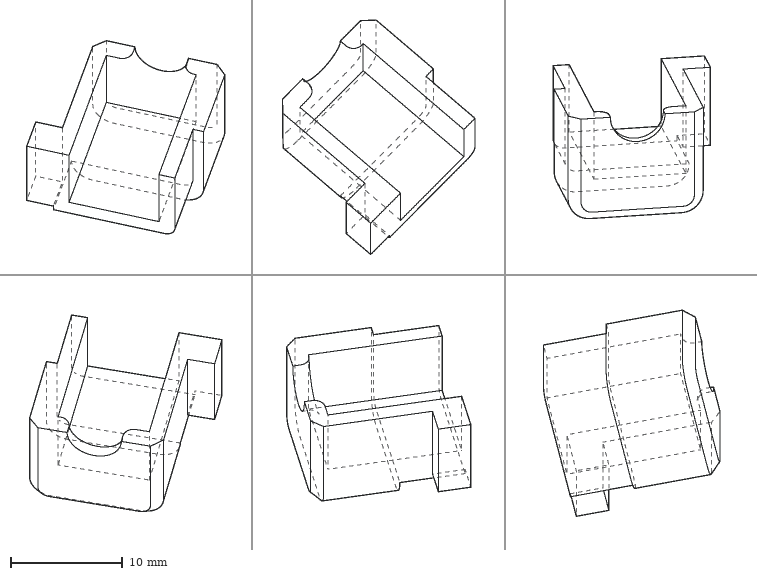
import cadquery as cq

total_width = 14.85
depth = 14.0
height = 10.0

tab_width = 2.5
tab_depth = 3.0
tab_bottom = 2.5

body_radius = 2.0
back_chamfer = 1.0
front_depth = 6.0
front_bottom = 2.0
front_side_step = 1.0
front_radius = 1.0

cavity_left = 3.96
cavity_width = 8.4
cavity_floor = 3.5
back_wall = 1.7

notch_radius = 2.5
notch_rounding = 1.0

body_width = total_width - tab_width
notch_x = tab_width + body_width / 2
cavity_back = depth - back_wall


def block(x, y, z, width, length, tall):
    """Box placed by its left, front, bottom corner."""
    return cq.Workplane("XY").box(width, length, tall, centered=False).translate((x, y, z))


def make_rear_body():
    """Full-size rear body with rounded bottom edges and a chamfered back rim."""
    body = block(tab_width, front_depth, 0, body_width, depth - front_depth, height)
    body = body.edges("|Y and <Z").fillet(body_radius)
    rim = body.faces(">Y").edges("not >Z")
    return rim.chamfer(back_chamfer)


def make_front_body():
    """Narrower, shallower front portion with one rounded bottom edge."""
    width = body_width - front_side_step
    body = block(tab_width, 0, front_bottom, width, front_depth, height - front_bottom)
    return body.edges("|Y and <Z and >X").fillet(front_radius)


def make_notch():
    """Cutter for the half-round notch, flaring with a rounded lip into the cavity."""
    flare_radius = notch_radius + notch_rounding
    lip_end = cavity_back + notch_rounding
    lip_middle = notch_rounding * (1 - 0.5 ** 0.5)
    profile = (
        cq.Workplane("XY")
        .moveTo(0, cavity_back)
        .lineTo(flare_radius, cavity_back)
        .threePointArc(
            (notch_radius + lip_middle, cavity_back + lip_middle),
            (notch_radius, lip_end),
        )
        .lineTo(notch_radius, depth)
        .lineTo(0, depth)
        .close()
    )
    cutter = profile.revolve(360, (0, 0, 0), (0, 1, 0))
    return cutter.translate((notch_x, 0, height))


tab = block(0, 0, tab_bottom, cavity_left, tab_depth, height - tab_bottom)
cavity = block(cavity_left, 0, cavity_floor, cavity_width, cavity_back, height - cavity_floor)

result = make_rear_body().union(make_front_body()).union(tab).cut(cavity).cut(make_notch())